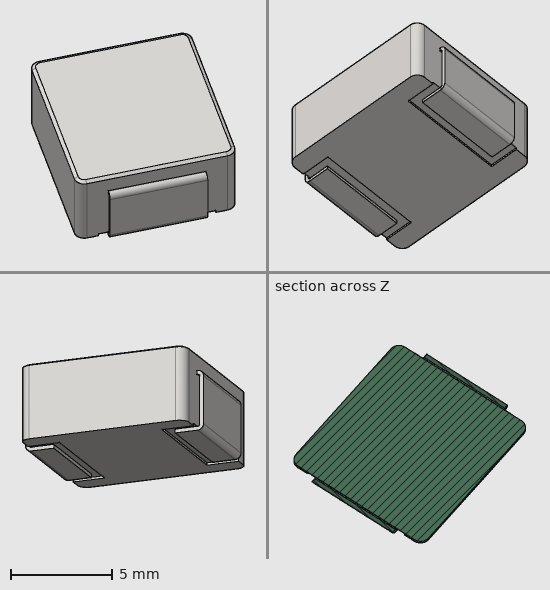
import cadquery as cq

overall_length = 9.45
overall_height = 4.0

housing_length = 8.79
housing_width = 8.2
corner_radius = 0.5
top_chamfer_inset = 0.2
top_chamfer_drop = 0.1
standoff = 0.08

lead_width = 5.0
lead_thickness = 0.2
lead_top = 3.1
inner_bend_radius = 0.1
outer_bend_radius = inner_bend_radius + lead_thickness
foot_length = 1.5
foot_clearance = 0.5

half_length = overall_length / 2
foot_end = half_length - foot_length
sides = (-1, 1)


def centred_box(length, width, bottom, top, x=0.0):
    """Box centred on (x, 0) that spans the heights bottom to top."""
    box = cq.Workplane("XY").box(length, width, top - bottom, centered=(True, True, False))
    return box.translate((x, 0, bottom))


def make_lead():
    """C-shaped strip: a bent loop, opened between the two feet."""
    loop = centred_box(overall_length, lead_width, 0, lead_top).edges("|Y").fillet(outer_bend_radius)
    window_length = overall_length - 2 * lead_thickness
    window = centred_box(window_length, lead_width, lead_thickness, lead_top - lead_thickness)
    window = window.edges("|Y").fillet(inner_bend_radius)
    foot_gap = centred_box(2 * foot_end, lead_width, 0, lead_thickness)
    return loop.cut(window).cut(foot_gap)


def make_housing_block():
    """Block with rounded upright corners and a shallow chamfer around the top."""
    block = centred_box(housing_length, housing_width, standoff, overall_height)
    block = block.edges("|Z").fillet(corner_radius)
    return block.faces(">Z").edges().chamfer(top_chamfer_drop, top_chamfer_inset)


def make_foot_recess(side):
    """Pocket in the underside, open to the end face, whose ceiling rests on the foot."""
    inner_end = foot_end - foot_clearance
    recess_length = half_length - inner_end
    recess_centre = side * (half_length + inner_end) / 2
    recess_width = lead_width + 2 * foot_clearance
    return centred_box(recess_length, recess_width, standoff, lead_thickness, recess_centre)


def make_housing():
    """Housing with a recess over each foot and a slot that the lead runs through."""
    housing = make_housing_block()
    for side in sides:
        housing = housing.cut(make_foot_recess(side))
    lead_slot = centred_box(housing_length, lead_width, lead_top - lead_thickness, lead_top)
    return housing.cut(lead_slot)


housing = make_housing()
lead = make_lead()

result = cq.Compound.makeCompound([housing.val(), lead.val()])